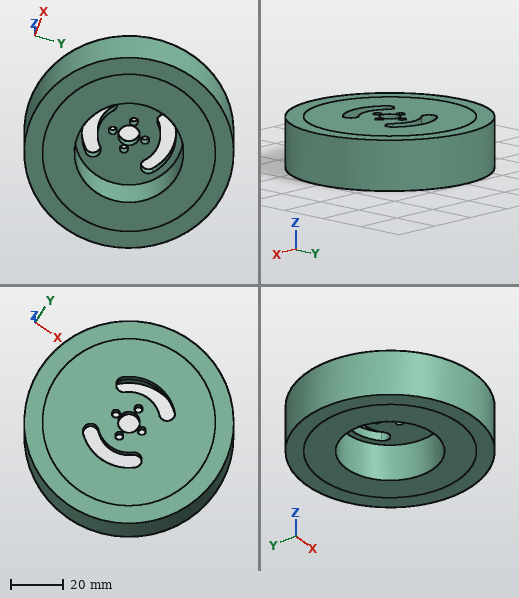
import cadquery as cq
import math

outer_diameter = 80.0
height = 20.0
hub_diameter = 66.0

web_thickness = 4.0
cavity_diameter = 41.6

bore_diameter = 8.3
screw_hole_diameter = 3.1
screw_offset_x = 6.0
screw_offset_y = 6.5
slot_inner_radius = 12.0
slot_outer_radius = 18.0
slot_half_angle = 41.8


def polar(radius, angle):
    """Point at a radius and an angle in degrees from the X axis."""
    return (radius * math.cos(math.radians(angle)), radius * math.sin(math.radians(angle)))


def make_tire():
    """Plain ring around the hub."""
    return cq.Workplane("XY").circle(outer_diameter / 2).circle(hub_diameter / 2).extrude(height)


def make_slot_cutter(middle_angle):
    """Curved slot with round ends, centred on middle_angle."""
    start = middle_angle - slot_half_angle
    end = middle_angle + slot_half_angle
    centre_radius = (slot_inner_radius + slot_outer_radius) / 2
    end_radius = (slot_outer_radius - slot_inner_radius) / 2
    tip_angle = math.degrees(math.atan2(end_radius, centre_radius))
    tip_radius = math.hypot(end_radius, centre_radius)
    return (
        cq.Workplane("XY")
        .moveTo(*polar(slot_outer_radius, start))
        .threePointArc(polar(slot_outer_radius, middle_angle), polar(slot_outer_radius, end))
        .threePointArc(polar(tip_radius, end + tip_angle), polar(slot_inner_radius, end))
        .threePointArc(polar(slot_inner_radius, middle_angle), polar(slot_inner_radius, start))
        .threePointArc(polar(tip_radius, start - tip_angle), polar(slot_outer_radius, start))
        .close()
        .extrude(height)
    )


def make_hub():
    """Disc with a cavity below, a bore, four screw holes and two curved slots."""
    hub = cq.Workplane("XY").circle(hub_diameter / 2).extrude(height)
    cavity = cq.Workplane("XY").circle(cavity_diameter / 2).extrude(height - web_thickness)
    bore = cq.Workplane("XY").circle(bore_diameter / 2).extrude(height)
    screw_points = [(screw_offset_x, 0), (-screw_offset_x, 0), (0, screw_offset_y), (0, -screw_offset_y)]
    screw_holes = cq.Workplane("XY").pushPoints(screw_points).circle(screw_hole_diameter / 2).extrude(height)
    hub = hub.cut(cavity).cut(bore).cut(screw_holes)
    for middle_angle in (90, 270):
        hub = hub.cut(make_slot_cutter(middle_angle))
    return hub


tire = make_tire()
hub = make_hub()
result = cq.Compound.makeCompound([tire.val(), *hub.vals()])